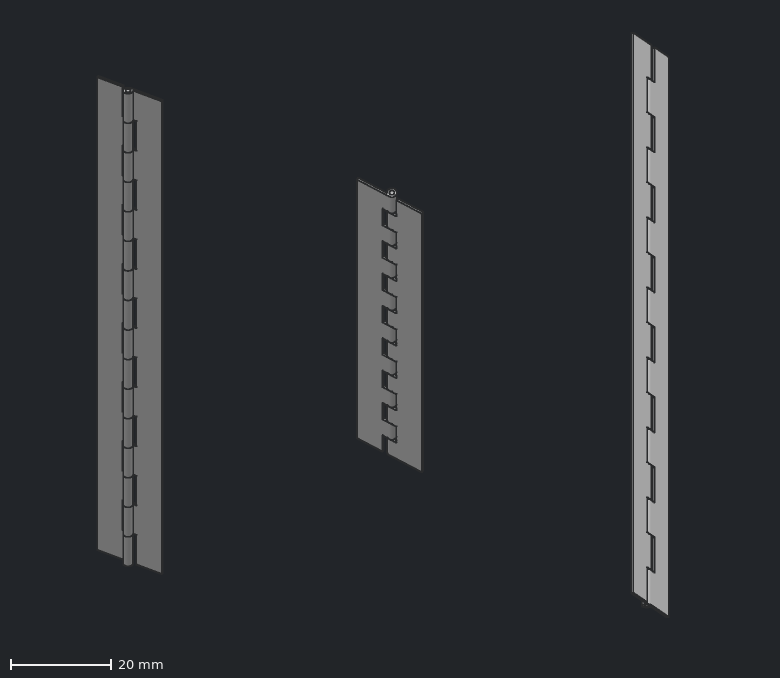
import cadquery as cq

HINGE_LENGTH = 120.0
HINGE_WIDTH = 15.0
KNUCKLE_COUNT = 16
PIN_DIAMETER = 1.0
SHEET_THICKNESS = 0.5
NOTCH_CLEARANCE = 0.6

LEAF_WIDTH = HINGE_WIDTH / 2
KNUCKLE_LENGTH = HINGE_LENGTH / KNUCKLE_COUNT
PIN_RADIUS = PIN_DIAMETER / 2
KNUCKLE_RADIUS = PIN_RADIUS + SHEET_THICKNESS
NOTCH_EDGE = KNUCKLE_RADIUS + NOTCH_CLEARANCE
SHEET_FRONT = PIN_RADIUS

LEFT = -1
RIGHT = 1


def rod(radius, bottom, length):
    """Round rod on the pin axis."""
    return cq.Workplane("XY").workplane(offset=bottom).circle(radius).extrude(length)


def sheet_strip(side, inner_edge, bottom, length):
    """Flat sheet from inner_edge (distance from the pin axis) to the outer edge of the leaf."""
    width = LEAF_WIDTH - inner_edge
    strip = cq.Workplane("XY").box(width, SHEET_THICKNESS, length, centered=(True, False, False))
    return strip.translate((side * (inner_edge + width / 2), SHEET_FRONT, bottom))


def knuckle(side, bottom):
    """Tube around the pin, joined to a sheet strip that runs tangent to its back."""
    barrel = rod(KNUCKLE_RADIUS, bottom, KNUCKLE_LENGTH)
    strip = sheet_strip(side, 0, bottom, KNUCKLE_LENGTH)
    bore = rod(PIN_RADIUS, bottom, KNUCKLE_LENGTH)
    return barrel.union(strip).cut(bore)


def leaf(side, first_position):
    """Notched sheet with a knuckle at every second position, counted upwards from the bottom."""
    body = sheet_strip(side, NOTCH_EDGE, 0, HINGE_LENGTH)
    for position in range(first_position, KNUCKLE_COUNT, 2):
        body = body.union(knuckle(side, position * KNUCKLE_LENGTH))
    return body.solids()


left_leaf = leaf(LEFT, first_position=0)
right_leaf = leaf(RIGHT, first_position=1)
pin = rod(PIN_RADIUS, 0, HINGE_LENGTH)

result = cq.Compound.makeCompound([left_leaf.val(), right_leaf.val(), pin.val()])